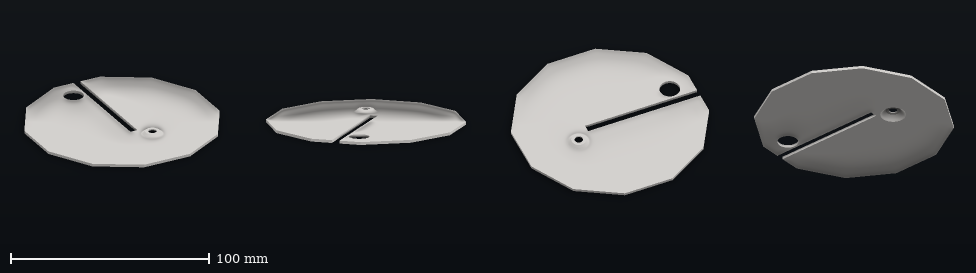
import cadquery as cq
import math

side_count = 12
width_across_flats = 97.6
plate_thickness = 1.5
total_height = 3.0

slot_width = 4.0
slot_end_x = 12.9

hole_diameter = 10.5
hole_center = (-36.5, -8.4)

boss_center = (20.1, 6.7)
boss_foot_radius = 5.7
boss_top_radius = 3.8
boss_fillet_radius = 1.9
bore_diameter = 4.3

lip_thickness = 0.6
recess_top_radius = 3.6
recess_depth = total_height - lip_thickness
boss_height = total_height - plate_thickness


def make_plate():
    """Regular polygon with flats facing +/-X and +/-Y."""
    corner_radius = width_across_flats / 2 / math.cos(math.pi / side_count)
    corners = []
    for index in range(side_count):
        angle = (index + 0.5) * 2 * math.pi / side_count
        corners.append((corner_radius * math.cos(angle), corner_radius * math.sin(angle)))
    return cq.Workplane("XY").polyline(corners).close().extrude(plate_thickness)


def make_boss():
    """Truncated cone standing on the plate."""
    cone = cq.Solid.makeCone(
        boss_foot_radius,
        boss_top_radius,
        boss_height,
        pnt=cq.Vector(*boss_center, plate_thickness),
    )
    return cq.Workplane(obj=cone)


def make_recess():
    """Cone under the boss, with the same slope as the boss wall."""
    wall_slope = (boss_foot_radius - boss_top_radius) / boss_height
    recess_mouth_radius = recess_top_radius + recess_depth * wall_slope
    cone = cq.Solid.makeCone(
        recess_mouth_radius,
        recess_top_radius,
        recess_depth,
        pnt=cq.Vector(*boss_center, 0),
    )
    return cq.Workplane(obj=cone)


def make_through_hole(center, diameter):
    return cq.Workplane("XY").center(*center).circle(diameter / 2).extrude(total_height)


def make_slot():
    slot_length = width_across_flats / 2 + slot_end_x
    slot_center_x = slot_end_x - slot_length / 2
    return (
        cq.Workplane("XY")
        .center(slot_center_x, 0)
        .rect(slot_length, slot_width)
        .extrude(plate_thickness)
    )


body = make_plate().union(make_boss())
body = body.edges(cq.selectors.RadiusNthSelector(-1)).fillet(boss_fillet_radius)

result = (
    body.cut(make_slot())
    .cut(make_recess())
    .cut(make_through_hole(hole_center, hole_diameter))
    .cut(make_through_hole(boss_center, bore_diameter))
)